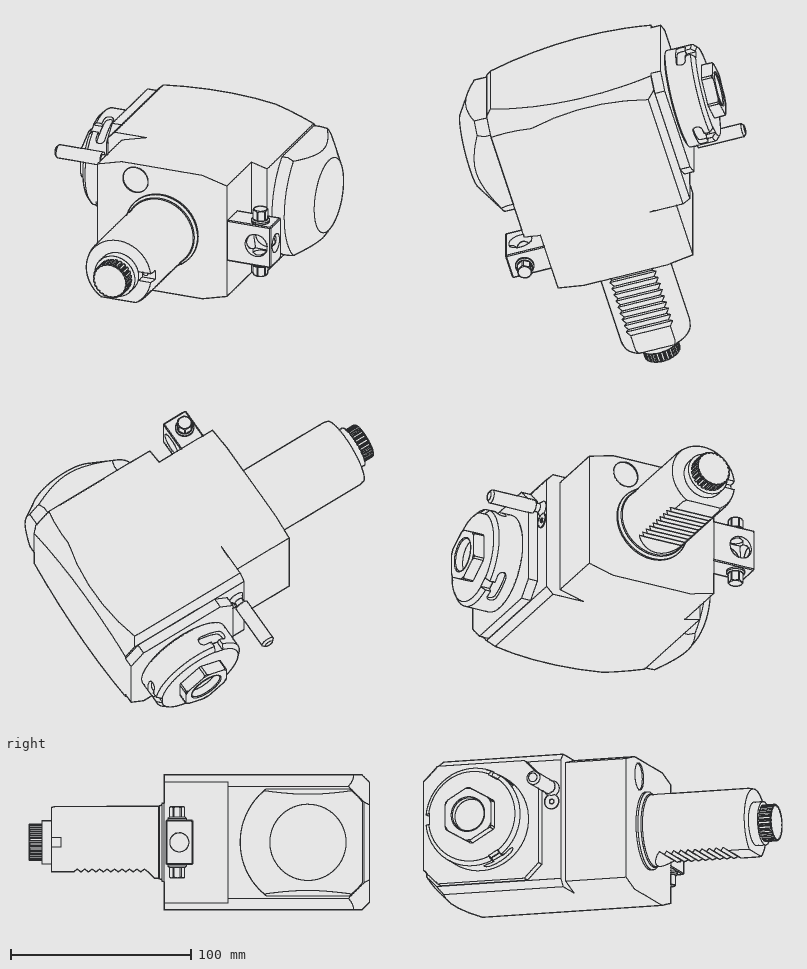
import cadquery as cq
import math


overall_height = 75.0
half_height = overall_height / 2
block_half_width = 39.0
block_length = 35.3
head_left = -47.2
head_right = 48.4
head_back = 114.0
head_chamfer = 4.0
back_corner_chamfer = 3.0
taper_start = 24.2
taper_slope = math.tan(math.radians(15))
arc_center_x = -9.6
arc_radius = 126.6
arc_peak_y = 109.8
recess_x = -16.0
recess_z = 27.8
recess_radius = 7.5
recess_depth = 0.8

spindle_y = 79.8
plate_thickness = 5.7
plate_half_height = 33.3
plate_front = 46.5
plate_chamfer = 8.3
plate_left = head_left - plate_thickness
nut_radius = 27.5
nut_length = 17.5
nut_chamfer = 2.3
nut_groove_width = 0.5
nut_groove_radius = 26.5
nut_face = plate_left - nut_length
notch_count = 3
notch_width = 6.0
notch_length = 5.5
notch_depth = 2.8
slot_width = 5.3
slot_length = 18.9
slot_depth = 2.5
hex_flats = 26.8
hex_corner_radius = 15.1
hex_length = 6.5
hex_edge_chamfer = 0.5
bore_radius = 9.3
bore_depth = 5.0
bore_chamfer = 0.5

pin_y = 40.6
pin_z = 17.5
pin_radius = 3.8
pin_tip = -80.5
pin_chamfer = 1.3
pin_neck_radius = 2.5
pin_neck_length = 3.2
pin_foot_radius = 4.3
pin_foot_length = 2.5
screw_z = 10.2
screw_radius = 4.2
screw_height = 0.5
screw_socket_radius = 1.3

cap_radius = 37.6
cap_end_radius = 21.2
cap_rim_x = 55.8
cap_end_x = 67.0
cap_back = 110.0
cap_half_height = 29.7
cap_taper_x = 52.0

flange_radius = 21.7
flange_length = 2.5
flange_round = 1.3
shank_radius = 20.0
shank_start = 3.2
shank_length = 62.5
shank_end_chamfer_length = 2.6
shank_end_radius = 19.5
collar_radius = 12.1
collar_end = 67.9
spline_radius = 10.2
spline_end = 75.0
spline_depth = 0.8
spline_teeth = 24
spline_end_chamfer = 0.5
rack_level = -16.5
rack_start = 8.9
rack_end = 50.3
rack_teeth = 10
rack_depth = 1.5
key_width = 5.3
key_depth = 5.3
key_hole_x = 14.0
key_hole_radius = 1.5
key_hole_depth = 3.8

bracket_right = 64.8
bracket_front = 1.0
bracket_depth = 15.0
bracket_half_height = 12.3
bracket_chamfer = 0.5
bracket_hole_radius = 6.6
bracket_hole_x = 56.1
bracket_cross_radius = 5.3
bolt_bore_radius = 4.2
bolt_tip_height = 7.2
washer_radius = 5.1
washer_chamfer = 0.8
washer_height = 1.7
bolt_flats = 7.5
bolt_corner_radius = 4.2
bolt_edge_chamfer = 0.5
bolt_y = 7.2
bolt_top = 19.8


def box(x0, x1, y0, y1, z0, z1):
    """Box between two opposite corners."""
    return cq.Workplane("XY").box(x1 - x0, y1 - y0, z1 - z0, centered=False).translate((x0, y0, z0))


def turned_x(points, y, z):
    """Solid turned about a line parallel to X; points are (x, radius) from axis to axis."""
    profile = cq.Workplane("XY").polyline(points).close()
    return profile.revolve(360, (0, 0, 0), (1, 0, 0)).translate((0, y, z))


def tapered_height(x):
    """Half height of the 15 degree side taper at a given distance from the shank axis."""
    return half_height - taper_slope * (x - taper_start)


def prism_y(points, y0, y1):
    """Outline in X and Z extruded from y0 to y1."""
    return cq.Workplane("XZ").polyline(points).close().extrude(y0 - y1).translate((0, y0, 0))


def mirrored_outline(points):
    """Close an upper (x, z) outline with its mirror image below."""
    return points + [(x, -z) for x, z in reversed(points)]


def back_cutter(side):
    """Material beyond the curved 45 degree bevel on the top (side 1) or bottom (side -1) back edge."""
    reach = 75.6
    depth = 56.7
    drop = 18.9
    sag = arc_radius - math.sqrt(arc_radius**2 - reach**2)
    outline = (
        cq.Workplane("XY")
        .moveTo(-reach, -sag)
        .threePointArc((0, 0), (reach, -sag))
        .lineTo(reach, depth)
        .lineTo(-reach, depth)
        .close()
    )
    path = cq.Workplane("YZ").lineTo(2 * drop, -2 * drop)
    cutter = outline.sweep(path).translate((arc_center_x, arc_peak_y - drop, half_height + drop))
    return cutter if side > 0 else cutter.mirror("XY")


def housing():
    block = prism_y(
        mirrored_outline(
            [
                (-block_half_width, tapered_height(block_half_width)),
                (-taper_start, half_height),
                (taper_start, half_height),
                (block_half_width, tapered_height(block_half_width)),
            ]
        ),
        0,
        block_length,
    )
    head = prism_y(
        mirrored_outline(
            [
                (head_left, half_height - head_chamfer),
                (head_left + head_chamfer, half_height),
                (taper_start, half_height),
                (head_right, tapered_height(head_right)),
            ]
        ),
        block_length,
        head_back,
    )
    head = head.edges(">X and >Y and |Z").chamfer(back_corner_chamfer)
    for side in (1, -1):
        head = head.cut(back_cutter(side))
    recess = cq.Workplane("XZ", origin=(recess_x, 0, recess_z)).circle(recess_radius).extrude(-recess_depth)
    return block.union(head).cut(recess)


def plate():
    body = box(plate_left, head_left, plate_front, head_back, -plate_half_height, plate_half_height)
    return body.edges("|X").chamfer(plate_chamfer)


def spindle_nut():
    chamfer_x = nut_face + nut_chamfer
    groove_x = plate_left - nut_groove_width
    nut = turned_x(
        [
            (plate_left, 0),
            (plate_left, nut_groove_radius),
            (groove_x, nut_groove_radius),
            (groove_x, nut_radius),
            (chamfer_x, nut_radius),
            (nut_face, nut_radius - nut_chamfer),
            (nut_face, 0),
        ],
        0,
        0,
    )
    floor = nut_radius - slot_depth
    ring = cq.Workplane("YZ").circle(2 * nut_radius).circle(floor).extrude(-nut_length)
    ring = ring.translate((plate_left, 0, 0))
    notch_end = nut_face + notch_length
    slot_x = notch_end + slot_width / 2
    slot = cq.Workplane("XY").slot2D(slot_length, slot_width, 90).extrude(nut_radius + slot_depth)
    slot = slot.translate((slot_x, 0, 0)).intersect(ring)
    half_width = notch_width / 2
    notch = box(nut_face, notch_end, -half_width, half_width, nut_radius - notch_depth, 2 * nut_radius)
    for i in range(notch_count):
        turn = 360 / notch_count * i - 90
        for cutter in (slot, notch):
            nut = nut.cut(cutter.rotate((0, 0, 0), (1, 0, 0), turn))
    return nut.translate((0, spindle_y, 0))


def spindle_hex():
    plane = cq.Workplane("YZ", origin=(nut_face, spindle_y, 0))
    across_corners = hex_flats / math.cos(math.pi / 6)
    hexagon = plane.transformed(rotate=(0, 0, 90)).polygon(6, across_corners).extrude(-hex_length)
    rounded = plane.circle(hex_corner_radius).extrude(-hex_length).faces("<X").chamfer(hex_edge_chamfer)
    return hexagon.intersect(rounded)


def spindle_bore():
    hex_face = nut_face - hex_length
    return turned_x(
        [
            (hex_face, 0),
            (hex_face, bore_radius + bore_chamfer),
            (hex_face + bore_chamfer, bore_radius),
            (hex_face + bore_depth, bore_radius),
            (hex_face + bore_depth, 0),
        ],
        spindle_y,
        0,
    )


def pin():
    foot_x = head_left - pin_foot_length
    shoulder_x = foot_x - pin_neck_length
    return turned_x(
        [
            (head_left, 0),
            (head_left, pin_foot_radius),
            (foot_x, pin_neck_radius),
            (shoulder_x, pin_neck_radius),
            (shoulder_x, pin_radius),
            (pin_tip + pin_chamfer, pin_radius),
            (pin_tip, pin_radius - pin_chamfer),
            (pin_tip, 0),
        ],
        pin_y,
        pin_z,
    )


def lock_screw():
    plane = cq.Workplane("YZ", origin=(head_left, pin_y, screw_z))
    return plane.circle(screw_radius).circle(screw_socket_radius).extrude(-screw_height)


def rear_cap():
    cap = turned_x(
        [
            (head_right, 0),
            (head_right, cap_radius),
            (cap_rim_x, cap_radius),
            (cap_end_x, cap_end_radius),
            (cap_end_x, 0),
        ],
        spindle_y,
        0,
    )
    end_height = cap_half_height - taper_slope * (cap_end_x - cap_taper_x)
    envelope = prism_y(
        mirrored_outline(
            [(head_right, cap_half_height), (cap_taper_x, cap_half_height), (cap_end_x, end_height)]
        ),
        spindle_y - cap_radius,
        cap_back,
    )
    return cap.intersect(envelope)


def turned_shank():
    profile = (
        cq.Workplane("XY")
        .lineTo(flange_radius, 0)
        .lineTo(flange_radius, -flange_length + flange_round)
        .radiusArc((flange_radius - flange_round, -flange_length), -flange_round)
        .lineTo(shank_radius, -shank_start)
        .lineTo(shank_radius, -shank_length + shank_end_chamfer_length)
        .lineTo(shank_end_radius, -shank_length)
        .lineTo(collar_radius, -shank_length)
        .lineTo(collar_radius, -collar_end)
        .lineTo(0, -collar_end)
        .close()
    )
    return profile.revolve(360, (0, 0, 0), (0, 1, 0))


def rack_cutter():
    """Flat along the bottom of the shank with V grooves across it."""
    below = -2 * shank_radius
    run_out = rack_level - below
    pitch = (rack_end - rack_start) / rack_teeth
    points = [(-rack_start + run_out, below), (-rack_start, rack_level)]
    for i in range(rack_teeth):
        y = -rack_start - pitch * i
        points += [(y - pitch / 2, rack_level + rack_depth), (y - pitch, rack_level)]
    points += [(-shank_length, rack_level), (-shank_length, below)]
    cutter = cq.Workplane("YZ").polyline(points).close().extrude(shank_radius, both=True)
    return cutter.intersect(box(-shank_radius, shank_radius, -shank_length, -flange_length, below, 0))


def spline():
    root = spline_radius - spline_depth
    step = 2 * math.pi / spline_teeth
    tooth = [(root, 0), (root, 0.25), (spline_radius, 0.4), (spline_radius, 0.85)]
    points = []
    for i in range(spline_teeth):
        for radius, offset in tooth:
            angle = step * (i + offset)
            points.append((radius * math.cos(angle), radius * math.sin(angle)))
    blank = cq.Workplane("XZ", origin=(0, -collar_end, 0)).circle(spline_radius)
    blank = blank.extrude(spline_end - collar_end).faces("<Y").chamfer(spline_end_chamfer)
    return prism_y(points, -spline_end, -collar_end).intersect(blank)


def shank():
    key = box(
        collar_radius, shank_radius, -shank_length, key_depth - shank_length, -key_width / 2, key_width / 2
    )
    key_hole = cq.Workplane("XZ", origin=(key_hole_x, key_depth - shank_length, 0)).circle(key_hole_radius)
    key = key.union(key_hole.extrude(-key_hole_depth))
    return turned_shank().cut(rack_cutter()).cut(key).union(spline())


def bracket():
    bracket_back = bracket_front + bracket_depth
    body = box(
        block_half_width,
        bracket_right,
        bracket_front,
        bracket_back,
        -bracket_half_height,
        bracket_half_height,
    )
    body = body.edges("|X").chamfer(bracket_chamfer).faces(">X").chamfer(bracket_chamfer)
    hole = cq.Workplane("XZ", origin=(bracket_hole_x, bracket_back, 0))
    body = body.cut(hole.circle(bracket_hole_radius).extrude(bracket_depth))
    cross_y = (bracket_front + bracket_back) / 2
    cross_hole = cq.Workplane("YZ", origin=(block_half_width, cross_y, 0))
    body = body.cut(cross_hole.circle(bracket_cross_radius).extrude(bracket_right - block_half_width))
    bolt_bore = cq.Workplane("XY", origin=(bracket_hole_x, bolt_y, 0)).circle(bolt_bore_radius)
    body = body.cut(bolt_bore.extrude(bolt_tip_height, both=True))
    top = cq.Workplane("XY", origin=(bracket_hole_x, bolt_y, bracket_half_height))
    bolt = top.circle(washer_radius).extrude(washer_height).faces(">Z").chamfer(washer_chamfer)
    head_height = bolt_top - bracket_half_height
    rounded = top.circle(bolt_corner_radius).extrude(head_height).faces(">Z").chamfer(bolt_edge_chamfer)
    across_corners = bolt_flats / math.cos(math.pi / 6)
    hexagon = top.transformed(rotate=(0, 0, 90)).polygon(6, across_corners).extrude(head_height)
    bolt = bolt.union(hexagon.intersect(rounded))
    return body.union(bolt).union(bolt.mirror("XY"))


result = housing()
for feature in (plate(), spindle_nut(), spindle_hex(), pin(), lock_screw(), rear_cap(), shank(), bracket()):
    result = result.union(feature)
result = result.cut(spindle_bore())